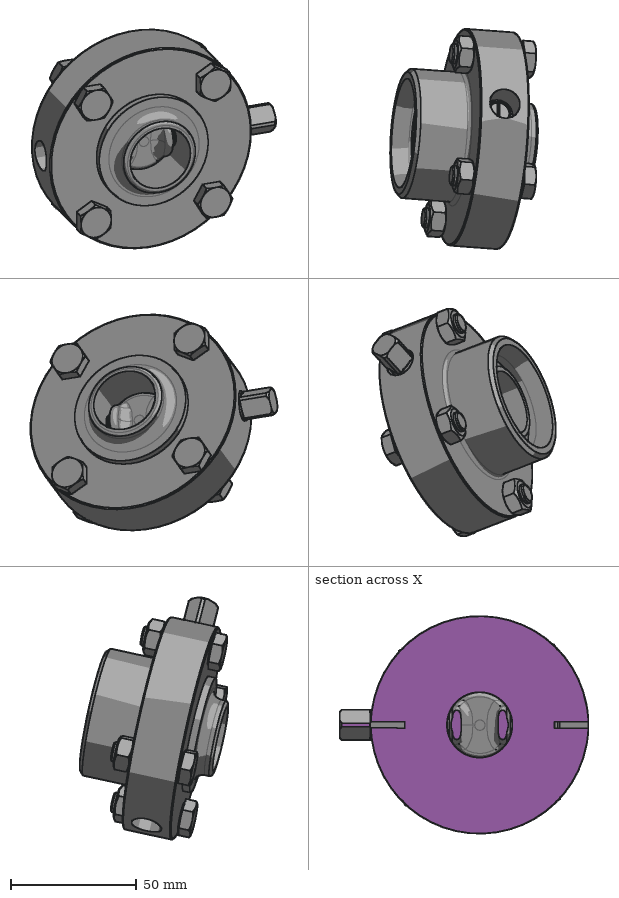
import cadquery as cq
import math


FLANGE_DIA = 87.0
FLANGE_HALF_WIDTH = 10.0
FLANGE_CHAMFER = 0.5
BORE_DIA = 26.0

HUB_DIA = 52.0
HUB_END_X = -32.0
HUB_CHAMFER = 1.5
HUB_ROOT_FILLET = 1.5
SOCKET_MOUTH_DIA = 43.7
SOCKET_DIA = 39.8
SOCKET_TAPER_LENGTH = 6.6
SOCKET_DEPTH = 10.0
NOZZLE_DIA = 30.0

STEP_DIA = 47.0
STEP_END_X = 13.0
OUTLET_DIA = 31.0
OUTLET_END_X = 20.0
OUTLET_END_ROUND_LENGTH = 1.0
OUTLET_END_ROUND_DROP = 1.25
OUTLET_END_ROUND_RADIUS = 1.5
OUTLET_ROOT_FILLET = 4.0

DISC_CENTRE_HALF_THICKNESS = 2.6
DISC_RIM_HALF_THICKNESS = 1.8
DISC_RIM_ROUND = 1.7
DISC_TIP_DIA = 4.13
BOSS_INNER_Y = 7.4
BOSS_SHOULDER_Y = 10.9
BOSS_OUTER_Y = 12.2
BOSS_ROUND = (BOSS_SHOULDER_Y - BOSS_INNER_Y) / 2
BOSS_DIA = 16.9
BOSS_OUTER_DIA = 10.5
BOSS_ROOT_FILLET = 4.2

EDGE_TOLERANCE = 0.1

STEM_DIA = 10.0
STEM_LOW_Y = -32.0
STEM_LOW_END_DIA = 8.5
SLOT_WIDTH = 1.0
SLOT_DEPTH = 1.0
STEM_BORE_DIA = 12.2
STEM_BORE_FLOOR = 30.0
SQUARE_START_Y = 43.8
SQUARE_END_Y = 56.0
SQUARE_FLATS = 9.6
SQUARE_CORNER_DIA = 12.2
SQUARE_CHAMFER = 0.9

BOLT_CIRCLE_DIA = 73.0
BOLT_COUNT = 4
STUD_DIA = 8.0
STUD_END_DIA = 6.9
STUD_CHAMFER_LENGTH = 0.6
STUD_END_X = -18.1
HEX_FLATS = 13.0
HEX_CORNER_DIA = 2 * HEX_FLATS / math.sqrt(3)
HEX_TURN = 45.0
HEX_CHAMFER_ANGLE = 30.0
NUT_HEIGHT = 6.5
NUT_FACE_DIA = 11.4
NUT_BASE_DIA = 12.4
HEAD_COLLAR_DIA = 11.4
HEAD_COLLAR_HEIGHT = 0.5
HEAD_HEIGHT = 4.8


def rod_x(diameter, x_start, x_end):
    """Cylinder on the X axis."""
    return cq.Workplane("YZ").workplane(offset=x_start).circle(diameter / 2).extrude(x_end - x_start)


def rod_y(diameter, y_start, y_end):
    """Cylinder on the Y axis."""
    return cq.Workplane("XZ").workplane(offset=-y_start).circle(diameter / 2).extrude(y_start - y_end)


def turned_x(profile):
    """Revolve a closed XY profile (y is the radius) about the X axis."""
    return profile.close().revolve(360, (0, 0, 0), (1, 0, 0))


def make_body():
    flange = rod_x(FLANGE_DIA, -FLANGE_HALF_WIDTH, FLANGE_HALF_WIDTH).edges().chamfer(FLANGE_CHAMFER)

    hub_r = HUB_DIA / 2
    hub = turned_x(
        cq.Workplane("XY")
        .moveTo(HUB_END_X, 0)
        .lineTo(HUB_END_X, hub_r - HUB_CHAMFER)
        .lineTo(HUB_END_X + HUB_CHAMFER, hub_r)
        .lineTo(-FLANGE_HALF_WIDTH - HUB_ROOT_FILLET, hub_r)
        .radiusArc((-FLANGE_HALF_WIDTH, hub_r + HUB_ROOT_FILLET), -HUB_ROOT_FILLET)
        .lineTo(-FLANGE_HALF_WIDTH, 0)
    )

    outlet_r = OUTLET_DIA / 2
    outlet = turned_x(
        cq.Workplane("XY")
        .moveTo(FLANGE_HALF_WIDTH, 0)
        .lineTo(FLANGE_HALF_WIDTH, STEP_DIA / 2)
        .lineTo(STEP_END_X, STEP_DIA / 2)
        .lineTo(STEP_END_X, outlet_r + OUTLET_ROOT_FILLET)
        .radiusArc((STEP_END_X + OUTLET_ROOT_FILLET, outlet_r), -OUTLET_ROOT_FILLET)
        .lineTo(OUTLET_END_X - OUTLET_END_ROUND_LENGTH, outlet_r)
        .radiusArc((OUTLET_END_X, outlet_r - OUTLET_END_ROUND_DROP), OUTLET_END_ROUND_RADIUS)
        .lineTo(OUTLET_END_X, 0)
    )
    return flange.union(hub).union(outlet)


def make_socket():
    """Tapered socket in the hub, leaving a nozzle ring standing around the bore."""
    taper_end_x = HUB_END_X + SOCKET_TAPER_LENGTH
    floor_x = HUB_END_X + SOCKET_DEPTH
    return turned_x(
        cq.Workplane("XY")
        .moveTo(HUB_END_X, 0)
        .lineTo(HUB_END_X, SOCKET_MOUTH_DIA / 2)
        .lineTo(taper_end_x, SOCKET_DIA / 2)
        .lineTo(floor_x, SOCKET_DIA / 2)
        .lineTo(floor_x, NOZZLE_DIA / 2)
        .lineTo(taper_end_x, NOZZLE_DIA / 2)
        .lineTo(taper_end_x, 0)
    )


def make_boss(side):
    """Stem boss of the disc, turned about the Y axis; side is +1 or -1."""
    return (
        cq.Workplane("XY")
        .moveTo(0, side * BOSS_INNER_Y)
        .lineTo(BOSS_DIA / 2 - BOSS_ROUND, side * BOSS_INNER_Y)
        .radiusArc((BOSS_DIA / 2 - BOSS_ROUND, side * BOSS_SHOULDER_Y), -side * BOSS_ROUND)
        .lineTo(BOSS_OUTER_DIA / 2, side * BOSS_OUTER_Y)
        .lineTo(0, side * BOSS_OUTER_Y)
        .close()
        .revolve(360, (0, 0, 0), (0, 1, 0))
    )


def make_disc():
    """Disc with shallow conical faces and a rounded rim that seals in the bore."""
    rim_r = BORE_DIA / 2
    disc = turned_x(
        cq.Workplane("XY")
        .moveTo(-DISC_CENTRE_HALF_THICKNESS, 0)
        .lineTo(-DISC_CENTRE_HALF_THICKNESS, DISC_TIP_DIA / 2)
        .lineTo(-DISC_RIM_HALF_THICKNESS, rim_r - DISC_RIM_ROUND)
        .radiusArc((DISC_RIM_ROUND - DISC_RIM_HALF_THICKNESS, rim_r), DISC_RIM_ROUND)
        .lineTo(DISC_RIM_HALF_THICKNESS - DISC_RIM_ROUND, rim_r)
        .radiusArc((DISC_RIM_HALF_THICKNESS, rim_r - DISC_RIM_ROUND), DISC_RIM_ROUND)
        .lineTo(DISC_CENTRE_HALF_THICKNESS, DISC_TIP_DIA / 2)
        .lineTo(DISC_CENTRE_HALF_THICKNESS, 0)
    )
    for side in (-1, 1):
        disc = disc.union(make_boss(side))

    root_band_end = BOSS_INNER_Y + BOSS_ROUND / 2
    root_edges = [
        edge
        for edge in disc.edges("not %CIRCLE").vals()
        if BOSS_INNER_Y - EDGE_TOLERANCE < abs(edge.Center().y) < root_band_end
    ]
    return disc.newObject(root_edges).fillet(BOSS_ROOT_FILLET)


def make_stem():
    shaft = rod_y(STEM_DIA, STEM_LOW_Y, SQUARE_START_Y)
    shaft = shaft.faces("<Y").chamfer((STEM_DIA - STEM_LOW_END_DIA) / 2)
    slot = cq.Workplane("XY").box(SLOT_WIDTH, 2 * SLOT_DEPTH, STEM_DIA).translate((0, STEM_LOW_Y, 0))

    length = SQUARE_END_Y - SQUARE_START_Y
    square = (
        cq.Workplane("XY")
        .box(SQUARE_FLATS, length, SQUARE_FLATS)
        .rotate((0, 0, 0), (0, 1, 0), 45)
        .translate((0, SQUARE_START_Y + length / 2, 0))
    )
    corner_limit = rod_y(SQUARE_CORNER_DIA, SQUARE_START_Y, SQUARE_END_Y).faces(">Y").chamfer(SQUARE_CHAMFER)
    shaft = shaft.cut(slot).cut(rod_y(STEM_DIA, -BOSS_SHOULDER_Y, BOSS_SHOULDER_Y))
    return shaft.union(square.intersect(corner_limit))


def hex_prism(x_start, length):
    return cq.Workplane("YZ").workplane(offset=x_start).polygon(6, HEX_CORNER_DIA).extrude(length)


def turn_corners(prism, face_x, face_dia, inward):
    """Turn down the hex corners conically at one end face; inward (+1 or -1) is the way into the prism."""
    reach_r = HEX_CORNER_DIA
    reach_x = face_x + inward * (reach_r - face_dia / 2) * math.tan(math.radians(HEX_CHAMFER_ANGLE))
    far_x = face_x + inward * 2 * NUT_HEIGHT
    envelope = turned_x(
        cq.Workplane("XY")
        .moveTo(face_x, 0)
        .lineTo(face_x, face_dia / 2)
        .lineTo(reach_x, reach_r)
        .lineTo(far_x, reach_r)
        .lineTo(far_x, 0)
    )
    return prism.intersect(envelope)


def make_bolt():
    """Bolt along X: nut and chamfered stud end on the -X side, head on the +X side."""
    nut_base_x = -FLANGE_HALF_WIDTH
    stud_tip_r = STUD_END_DIA / 2
    stud = turned_x(
        cq.Workplane("XY")
        .moveTo(STUD_END_X, 0)
        .lineTo(STUD_END_X, stud_tip_r)
        .lineTo(STUD_END_X + STUD_CHAMFER_LENGTH, STUD_DIA / 2)
        .lineTo(FLANGE_HALF_WIDTH, STUD_DIA / 2)
        .lineTo(FLANGE_HALF_WIDTH, 0)
    )
    nut_face_x = nut_base_x - NUT_HEIGHT
    nut = hex_prism(nut_face_x, NUT_HEIGHT)
    nut = turn_corners(nut, nut_face_x, NUT_FACE_DIA, 1)
    nut = turn_corners(nut, nut_base_x, NUT_BASE_DIA, -1)

    head_x = FLANGE_HALF_WIDTH + HEAD_COLLAR_HEIGHT
    collar = rod_x(HEAD_COLLAR_DIA, FLANGE_HALF_WIDTH, head_x)
    head = turn_corners(hex_prism(head_x, HEAD_HEIGHT), head_x + HEAD_HEIGHT, HEX_FLATS, -1)
    return stud.union(nut).union(collar).union(head)


def make_valve():
    valve = make_body().cut(make_socket()).cut(rod_x(BORE_DIA, HUB_END_X, OUTLET_END_X))
    for side in (-1, 1):
        valve = valve.cut(rod_y(STEM_BORE_DIA, side * STEM_BORE_FLOOR, side * FLANGE_DIA / 2))
    valve = valve.union(make_disc()).union(make_stem())

    bolt = make_bolt().rotate((0, 0, 0), (1, 0, 0), HEX_TURN)
    bolt = bolt.translate((0, BOLT_CIRCLE_DIA / 2, 0))
    bolt_pitch = 360 / BOLT_COUNT
    for index in range(BOLT_COUNT):
        valve = valve.union(bolt.rotate((0, 0, 0), (1, 0, 0), bolt_pitch * (index + 0.5)))
    return valve


result = make_valve()